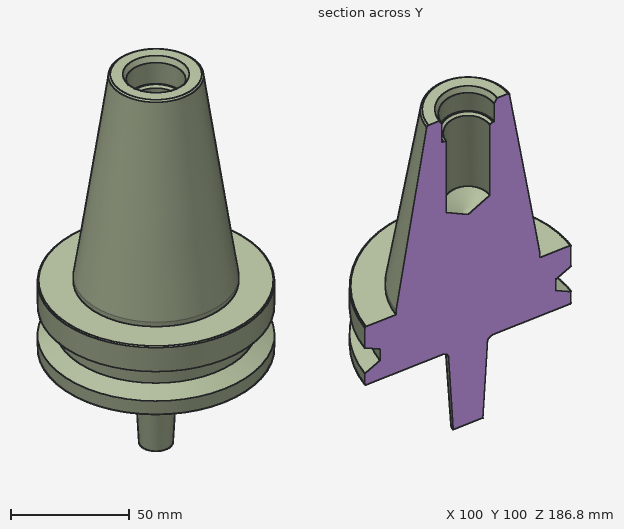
import cadquery as cq
import math

total_height = 186.8
shank_length = 47.0
flange_height = 35.0
collar_height = 2.5
flange_top = shank_length + flange_height
taper_base = flange_top + collar_height

taper_base_radius = 35.0
taper_slope = 7 / 24 / 2
taper_top_radius = taper_base_radius - (total_height - taper_base) * taper_slope
taper_chamfer = 0.7

flange_diameter = 100.0
flange_radius = flange_diameter / 2
flange_chamfer = 0.5
groove_floor_diameter = 85.4
groove_floor_radius = groove_floor_diameter / 2
lower_rim_height = 7.3
groove_floor_height = 6.5
groove_flank_angle = math.radians(30)
groove_flank_height = (flange_radius - groove_floor_radius) * math.tan(groove_flank_angle)
groove_bottom = shank_length + lower_rim_height
groove_floor_bottom = groove_bottom + groove_flank_height
groove_floor_top = groove_floor_bottom + groove_floor_height
groove_top = groove_floor_top + groove_flank_height

shank_tip_radius = 7.3
shank_base_radius = 9.5
shank_fillet = 3.0

bore_mouth_radius = 14.0
counterbore_radius = 12.5
countersink_radius = 12.0
drill_radius = 10.5
mouth_angle = math.radians(60)
mouth_depth = (bore_mouth_radius - counterbore_radius) / math.tan(mouth_angle / 2)
counterbore_depth = 13.3
countersink_angle = math.radians(120)
countersink_height = (countersink_radius - drill_radius) / math.tan(countersink_angle / 2)
step_depth = counterbore_depth + countersink_height
drill_depth = 56.0
drill_point_angle = math.radians(118)
drill_point_depth = drill_depth + drill_radius / math.tan(drill_point_angle / 2)


def make_body():
    """Revolve the outer profile of shank, flange and taper about Z."""
    fillet_offset = shank_fillet * math.sin(math.radians(45))
    fillet_center_radius = shank_base_radius + shank_fillet
    fillet_center_height = shank_length - shank_fillet
    profile = (
        cq.Workplane("XZ")
        .lineTo(shank_tip_radius, 0)
        .lineTo(shank_base_radius, fillet_center_height)
        .threePointArc(
            (fillet_center_radius - fillet_offset, fillet_center_height + fillet_offset),
            (fillet_center_radius, shank_length),
        )
        .lineTo(flange_radius - flange_chamfer, shank_length)
        .lineTo(flange_radius, shank_length + flange_chamfer)
        .lineTo(flange_radius, groove_bottom)
        .lineTo(groove_floor_radius, groove_floor_bottom)
        .lineTo(groove_floor_radius, groove_floor_top)
        .lineTo(flange_radius, groove_top)
        .lineTo(flange_radius, flange_top - flange_chamfer)
        .lineTo(flange_radius - flange_chamfer, flange_top)
        .lineTo(taper_base_radius, flange_top)
        .lineTo(taper_base_radius, taper_base)
        .lineTo(taper_top_radius, total_height)
        .lineTo(0, total_height)
        .close()
    )
    body = profile.revolve(360, (0, 0, 0), (0, 1, 0))
    return body.faces(">Z").edges().chamfer(taper_chamfer)


def make_bore():
    """Revolve the bore: countersunk mouth, counterbore, countersink and drill point."""
    profile = (
        cq.Workplane("XZ", origin=(0, 0, total_height))
        .lineTo(bore_mouth_radius, 0)
        .lineTo(counterbore_radius, -mouth_depth)
        .lineTo(counterbore_radius, -counterbore_depth)
        .lineTo(countersink_radius, -counterbore_depth)
        .lineTo(drill_radius, -step_depth)
        .lineTo(drill_radius, -drill_depth)
        .lineTo(0, -drill_point_depth)
        .close()
    )
    return profile.revolve(360, (0, 0, 0), (0, 1, 0))


result = make_body().cut(make_bore())